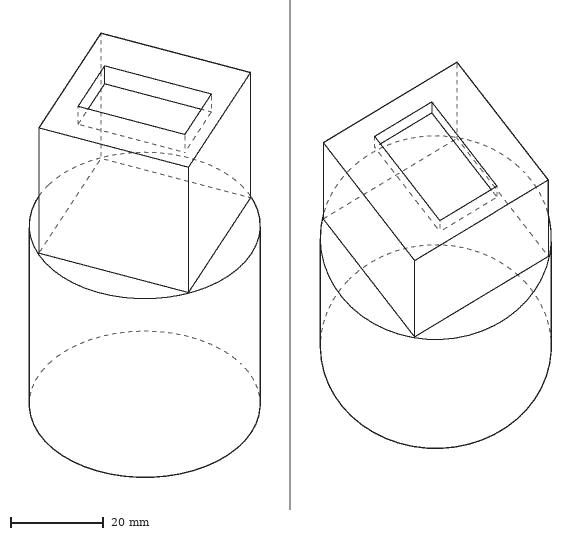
import cadquery as cq

total_height = 85.0
base_diameter = 50.0
base_height = base_diameter
block_side = total_height - base_height
pocket_length = 25.0
pocket_width = 15.0
pocket_depth = 5.0

base = cq.Workplane("XY").circle(base_diameter / 2).extrude(base_height)

block = (
    cq.Workplane("XY")
    .workplane(offset=base_height)
    .rect(block_side, block_side)
    .extrude(block_side)
)

pocket = (
    cq.Workplane("XY")
    .workplane(offset=total_height)
    .rect(pocket_length, pocket_width)
    .extrude(-pocket_depth)
)

result = base.union(block).cut(pocket)